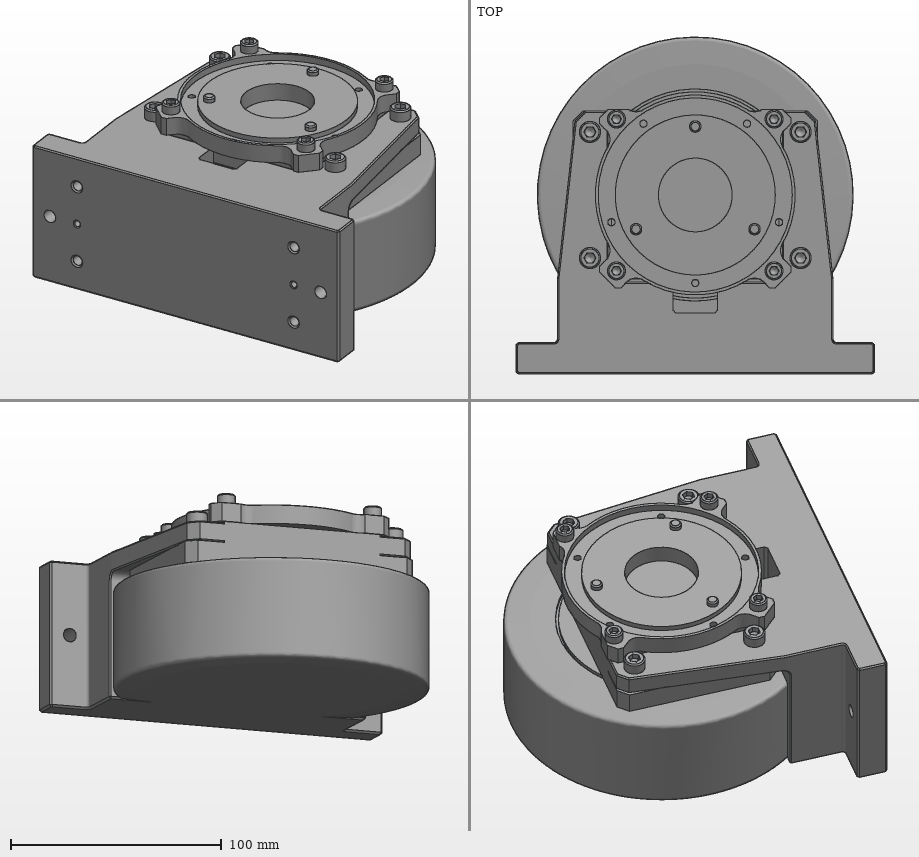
import cadquery as cq
import math

PICK_MARGIN = 0.2

BASE_WIDTH = 170.0
BASE_THICKNESS = 15.0
BLOCK_HEIGHT = 70.7
BODY_HALF_WIDTH = 65.5
BODY_END_Y = 42.2
EDGE_CHAMFER = 1.0
CORNER_FILLET = 1.7

AXIS_Y = 85.0

ARM_BOTTOM_Z = 61.2
ARM_START_Y = 44.5
ARM_END_Y = 124.8
ARM_TIP_HALF_WIDTH = 57.1
ARM_TIP_CHAMFER = 4.8
ARM_EDGE_CHAMFER = 0.7
ARM_ROOT_FILLET = 4.0

CARRIER_HALF_WIDTH = 58.1
CARRIER_BOTTOM_Z = 50.7
CARRIER_HALF_LENGTH = ARM_END_Y - AXIS_Y
SPIGOT_DIAMETER = 74.0

OPENING_HALF_WIDTH = 41.3
CABLE_SLOT_WIDTH = 21.0
CABLE_SLOT_START_Y = 28.9
CABLE_SLOT_CHAMFER = 1.4

DRUM_RADIUS = 75.0
DRUM_HEIGHT = 49.6
DRUM_FLAT_RADIUS = 62.0
DRUM_EDGE_DROP = 0.7
DRUM_EDGE_FILLET = 1.9
GROOVE_OUTER_RADIUS = 50.3
GROOVE_INNER_RADIUS = 49.0
GROOVE_DEPTH = 1.7

FLANGE_BOTTOM_Z = 71.2
FLANGE_TOP_Z = 80.2
FLANGE_RADIUS = 47.5
RECESS_RADIUS = 46.0
RECESS_DEPTH = 3.4
HUB_DIAMETER = 76.0
HUB_HEIGHT = 2.5
BORE_DIAMETER = 35.0
BORE_DEPTH = 8.8
LUG_SCREW_X = 37.4
LUG_SCREW_Y = 36.0
LUG_WIDTH = 14.5
LUG_TIP_MARGIN = 5.1
LUG_TRIM_X = 45.4
LUG_TRIM_FRONT_Y = 44.0
LUG_TRIM_REAR_Y = 40.6
LUG_FLANK_FILLET = 6.1
PIN_CIRCLE_RADIUS = 32.5
PIN_COUNT = 3
PIN_DIAMETER = 5.5
PIN_TOP_Z = 82.0
PIN_CHAMFER = 0.7
FLANGE_HOLE_CIRCLE_RADIUS = 41.8
FLANGE_HOLE_COUNT = 5
FLANGE_HOLE_DIAMETER = 3.4

FLANGE_SCREW_DIAMETER = 8.5
FLANGE_SCREW_TOP_Z = 85.0
FLANGE_SOCKET_SIZE = 4.0
ARM_SCREW_X = 50.0
ARM_SCREW_Y = 30.0
ARM_SCREW_DIAMETER = 10.0
ARM_SCREW_TOP_Z = 76.5
ARM_SOCKET_SIZE = 5.0
SCREW_CHAMFER = 0.7
SOCKET_DEPTH = 2.5
DRILL_TIP_ANGLE = 118.0

CLEARANCE_X = 75.0
CLEARANCE_DIAMETER = 6.5
BASE_HOLE_X = 60.0
TAPPED_SPACING_Z = 40.0
TAPPED_DIAMETER = 5.0
TAPPED_MOUTH_DIAMETER = 6.5
TAPPED_DEPTH = 13.6
DOWEL_DIAMETER = 3.0
DOWEL_MOUTH_DIAMETER = 4.0
DOWEL_DEPTH = 8.5


def slab(outline, bottom_z, top_z):
    """Closed polygon in plan, filled between two heights."""
    return cq.Workplane("XY", origin=(0, 0, bottom_z)).polyline(outline).close().extrude(top_z - bottom_z)


def disc(x, y, diameter, bottom_z, top_z):
    return cq.Workplane("XY", origin=(x, y, bottom_z)).circle(diameter / 2).extrude(top_z - bottom_z)


def mirrored_outline(half):
    """Complete an outline given its +X half, listed from -Y to +Y."""
    return half + [(-x, y) for x, y in reversed(half)]


def four_corners(x, y):
    return [(sx * x, sy * y) for sx in (-1, 1) for sy in (-1, 1)]


def drill_point(diameter):
    """Length of the conical end of a drilled hole."""
    return diameter / 2 / math.tan(math.radians(DRILL_TIP_ANGLE / 2))


def make_frame():
    plan = mirrored_outline([
        (BASE_WIDTH / 2, 0),
        (BASE_WIDTH / 2, BASE_THICKNESS),
        (BODY_HALF_WIDTH, BASE_THICKNESS),
        (BODY_HALF_WIDTH, BODY_END_Y),
    ])
    frame = slab(plan, 0, BLOCK_HEIGHT)
    inner_corners = cq.selectors.BoxSelector(
        (-BODY_HALF_WIDTH - PICK_MARGIN, BASE_THICKNESS - PICK_MARGIN, 0),
        (BODY_HALF_WIDTH + PICK_MARGIN, BASE_THICKNESS + PICK_MARGIN, BLOCK_HEIGHT),
    )
    outer_corners = cq.selectors.BoxSelector(
        (-BASE_WIDTH, -PICK_MARGIN, 0), (BASE_WIDTH, BASE_THICKNESS + PICK_MARGIN, BLOCK_HEIGHT)
    )
    frame = frame.edges("|Z").edges(outer_corners - inner_corners).chamfer(EDGE_CHAMFER)
    return frame.edges("|Z").edges(inner_corners).fillet(CORNER_FILLET)


def make_arm():
    plan = mirrored_outline([
        (BODY_HALF_WIDTH, BODY_END_Y),
        (BODY_HALF_WIDTH, ARM_START_Y),
        (ARM_TIP_HALF_WIDTH, ARM_END_Y - ARM_TIP_CHAMFER),
        (ARM_TIP_HALF_WIDTH - ARM_TIP_CHAMFER, ARM_END_Y),
    ])
    return slab(plan, ARM_BOTTOM_Z, BLOCK_HEIGHT)


def make_arm_opening():
    """Square clearance around the carrier core, with broken corners."""
    return (
        cq.Workplane("XY", origin=(0, AXIS_Y, ARM_BOTTOM_Z))
        .rect(2 * OPENING_HALF_WIDTH, 2 * OPENING_HALF_WIDTH)
        .extrude(BLOCK_HEIGHT - ARM_BOTTOM_Z)
        .edges("|Z")
        .chamfer(ARM_TIP_CHAMFER)
    )


def make_cable_slot():
    """Slot from the opening toward the base, open down to the drum face."""
    slot_length = ARM_START_Y - CABLE_SLOT_START_Y
    return (
        cq.Workplane("XY", origin=(0, CABLE_SLOT_START_Y + slot_length / 2, DRUM_HEIGHT))
        .rect(CABLE_SLOT_WIDTH, slot_length)
        .extrude(BLOCK_HEIGHT - DRUM_HEIGHT)
        .edges("|Z and <Y")
        .chamfer(CABLE_SLOT_CHAMFER)
    )


def make_block():
    """Frame and arm joined, with the edges along the drum gap, the top and the underside broken."""
    block = make_frame().union(make_arm())
    root = cq.selectors.BoxSelector(
        (-BODY_HALF_WIDTH, BODY_END_Y - PICK_MARGIN, ARM_BOTTOM_Z - PICK_MARGIN),
        (BODY_HALF_WIDTH, BODY_END_Y + PICK_MARGIN, ARM_BOTTOM_Z + PICK_MARGIN),
    )
    block = block.edges("|X").edges(root).fillet(ARM_ROOT_FILLET)
    around_gap = cq.selectors.BoxSelector(
        (-BASE_WIDTH, BODY_END_Y - PICK_MARGIN, -PICK_MARGIN),
        (BASE_WIDTH, ARM_END_Y + PICK_MARGIN, ARM_BOTTOM_Z + PICK_MARGIN),
        boundingbox=True,
    )
    across_body_end = cq.selectors.BoxSelector(
        (-BASE_WIDTH, BODY_END_Y - PICK_MARGIN, -PICK_MARGIN),
        (BASE_WIDTH, BODY_END_Y + PICK_MARGIN, ARM_BOTTOM_Z + PICK_MARGIN),
    )
    side_edges = around_gap - (across_body_end & cq.selectors.ParallelDirSelector(cq.Vector(1, 0, 0)))
    block = block.edges(side_edges).chamfer(ARM_EDGE_CHAMFER)
    block = block.cut(make_arm_opening())
    block = block.faces(">Z").edges().chamfer(ARM_EDGE_CHAMFER)
    block = block.faces("<Z").edges().chamfer(EDGE_CHAMFER)
    return block.cut(make_cable_slot())


def make_drum():
    edge_z = DRUM_HEIGHT - DRUM_EDGE_DROP
    drum = (
        cq.Workplane("XZ")
        .polyline([
            (0, 0),
            (DRUM_FLAT_RADIUS, 0),
            (DRUM_RADIUS, DRUM_EDGE_DROP),
            (DRUM_RADIUS, edge_z),
            (DRUM_FLAT_RADIUS, DRUM_HEIGHT),
            (0, DRUM_HEIGHT),
        ])
        .close()
        .revolve(360, (0, 0, 0), (0, 1, 0))
    )
    largest_circles = cq.selectors.RadiusNthSelector(-1)
    drum = drum.edges("%CIRCLE").edges(largest_circles).fillet(DRUM_EDGE_FILLET)
    return drum.translate((0, AXIS_Y, 0))


def make_groove():
    return (
        cq.Workplane("XY", origin=(0, AXIS_Y, DRUM_HEIGHT - GROOVE_DEPTH))
        .circle(GROOVE_OUTER_RADIUS)
        .circle(GROOVE_INNER_RADIUS)
        .extrude(GROOVE_DEPTH)
    )


def make_carrier():
    """Chamfered plate under the arm, its square core up to the flange, and the drum spigot."""
    length = 2 * CARRIER_HALF_LENGTH
    plate = (
        cq.Workplane("XY", origin=(0, AXIS_Y, CARRIER_BOTTOM_Z))
        .rect(2 * CARRIER_HALF_WIDTH, length)
        .extrude(ARM_BOTTOM_Z - CARRIER_BOTTOM_Z)
        .edges("|Z")
        .chamfer(ARM_TIP_CHAMFER)
    )
    core = (
        cq.Workplane("XY", origin=(0, AXIS_Y, CARRIER_BOTTOM_Z))
        .rect(length, length)
        .extrude(FLANGE_BOTTOM_Z - CARRIER_BOTTOM_Z)
    )
    spigot = disc(0, AXIS_Y, SPIGOT_DIAMETER, DRUM_HEIGHT, CARRIER_BOTTOM_Z)
    return plate.union(core).union(spigot)


def make_lug_strip(side_x, side_y):
    """Bar running diagonally outward through one flange screw."""
    reach = math.hypot(LUG_SCREW_X, LUG_SCREW_Y) + LUG_TIP_MARGIN
    return (
        cq.Workplane("XY", origin=(0, 0, FLANGE_BOTTOM_Z))
        .rect(reach, LUG_WIDTH, centered=(False, True))
        .extrude(FLANGE_TOP_Z - FLANGE_BOTTOM_Z)
        .rotate((0, 0, 0), (0, 0, 1), math.degrees(math.atan2(side_y, side_x)))
        .translate((side_x * (LUG_SCREW_X - LUG_SCREW_Y), 0, 0))
    )


def is_flank_root(edge):
    """True where a lug flank meets the ring; the ring's own seam lies on the X axis."""
    center = edge.Center()
    on_ring = math.hypot(center.x, center.y) < FLANGE_RADIUS + PICK_MARGIN
    return on_ring and abs(center.y) > PICK_MARGIN


def make_flange_blank():
    """Ring with four lugs, blended at their flanks and trimmed square at their tips."""
    ring = disc(0, 0, 2 * FLANGE_RADIUS, FLANGE_BOTTOM_Z, FLANGE_TOP_Z)
    star = ring
    for side_x, side_y in four_corners(1, 1):
        star = star.union(make_lug_strip(side_x, side_y))
    flank_roots = [edge for edge in star.edges("|Z").vals() if is_flank_root(edge)]
    star = star.newObject(flank_roots).fillet(LUG_FLANK_FILLET)
    trim = slab(
        mirrored_outline([(LUG_TRIM_X, -LUG_TRIM_FRONT_Y), (LUG_TRIM_X, LUG_TRIM_REAR_Y)]),
        FLANGE_BOTTOM_Z,
        FLANGE_TOP_Z,
    )
    return star.intersect(trim.union(ring))


def make_flange():
    """Flange about its own axis at X = Y = 0."""
    flange = make_flange_blank()
    recess_floor_z = FLANGE_TOP_Z - RECESS_DEPTH
    hub_top_z = recess_floor_z + HUB_HEIGHT
    flange = flange.cut(disc(0, 0, 2 * RECESS_RADIUS, recess_floor_z, FLANGE_TOP_Z))
    flange = flange.union(disc(0, 0, HUB_DIAMETER, recess_floor_z, hub_top_z))

    pin_spots = cq.Workplane("XY", origin=(0, 0, recess_floor_z)).polarArray(
        PIN_CIRCLE_RADIUS, 90, 360, PIN_COUNT
    )
    pins = pin_spots.circle(PIN_DIAMETER / 2).extrude(PIN_TOP_Z - recess_floor_z)
    flange = flange.union(pins.faces(">Z").edges().chamfer(PIN_CHAMFER))

    holes = (
        cq.Workplane("XY", origin=(0, 0, FLANGE_BOTTOM_Z))
        .polarArray(FLANGE_HOLE_CIRCLE_RADIUS, -90, 360, FLANGE_HOLE_COUNT)
        .circle(FLANGE_HOLE_DIAMETER / 2)
        .extrude(recess_floor_z - FLANGE_BOTTOM_Z)
    )
    return flange.cut(holes)


def make_screw(diameter, seat_z, top_z, socket_size):
    """Screw head with a hexagon socket ending in a drill point."""
    head = disc(0, 0, diameter, seat_z, top_z).faces(">Z").edges().chamfer(SCREW_CHAMFER)
    floor_z = top_z - SOCKET_DEPTH
    hexagon_diameter = socket_size / math.cos(math.pi / 6)
    socket = cq.Workplane("XY", origin=(0, 0, floor_z)).polygon(6, hexagon_diameter).extrude(SOCKET_DEPTH)
    point = cq.Solid.makeCone(
        socket_size / 2, 0, drill_point(socket_size), cq.Vector(0, 0, floor_z), cq.Vector(0, 0, -1)
    )
    return head.cut(socket).cut(point)


def drilled_hole(x, z, diameter, mouth_diameter, depth):
    """Blind hole from the base face along +Y: countersunk mouth, bore and drill point."""
    radius = diameter / 2
    mouth_radius = mouth_diameter / 2
    profile = [
        (0, 0),
        (mouth_radius, 0),
        (radius, mouth_radius - radius),
        (radius, depth),
        (0, depth + drill_point(diameter)),
    ]
    tool = cq.Workplane("XY").polyline(profile).close().revolve(360, (0, 0, 0), (0, 1, 0))
    return tool.translate((x, 0, z))


def make_base_holes():
    mid_z = BLOCK_HEIGHT / 2
    holes = cq.Workplane("XY")
    for side in (-1, 1):
        clearance = (
            cq.Workplane("XZ", origin=(side * CLEARANCE_X, 0, mid_z))
            .circle(CLEARANCE_DIAMETER / 2)
            .extrude(-BASE_THICKNESS)
        )
        x = side * BASE_HOLE_X
        dowel = drilled_hole(x, mid_z, DOWEL_DIAMETER, DOWEL_MOUTH_DIAMETER, DOWEL_DEPTH)
        holes = holes.add(clearance).add(dowel)
        for level in (-1, 1):
            z = mid_z + level * TAPPED_SPACING_Z / 2
            holes = holes.add(drilled_hole(x, z, TAPPED_DIAMETER, TAPPED_MOUTH_DIAMETER, TAPPED_DEPTH))
    return holes.combine()


result = make_block().union(make_drum())
result = result.cut(make_groove())
result = result.union(make_carrier())
result = result.union(make_flange().translate((0, AXIS_Y, 0)))

bore_top_z = FLANGE_TOP_Z - RECESS_DEPTH + HUB_HEIGHT
result = result.cut(disc(0, AXIS_Y, BORE_DIAMETER, bore_top_z - BORE_DEPTH, bore_top_z))

flange_screw = make_screw(FLANGE_SCREW_DIAMETER, FLANGE_TOP_Z, FLANGE_SCREW_TOP_Z, FLANGE_SOCKET_SIZE)
for x, y in four_corners(LUG_SCREW_X, LUG_SCREW_Y):
    result = result.union(flange_screw.translate((x, AXIS_Y + y, 0)))

arm_screw = make_screw(ARM_SCREW_DIAMETER, BLOCK_HEIGHT, ARM_SCREW_TOP_Z, ARM_SOCKET_SIZE)
for x, y in four_corners(ARM_SCREW_X, ARM_SCREW_Y):
    result = result.union(arm_screw.translate((x, AXIS_Y + y, 0)))

result = result.cut(make_base_holes())